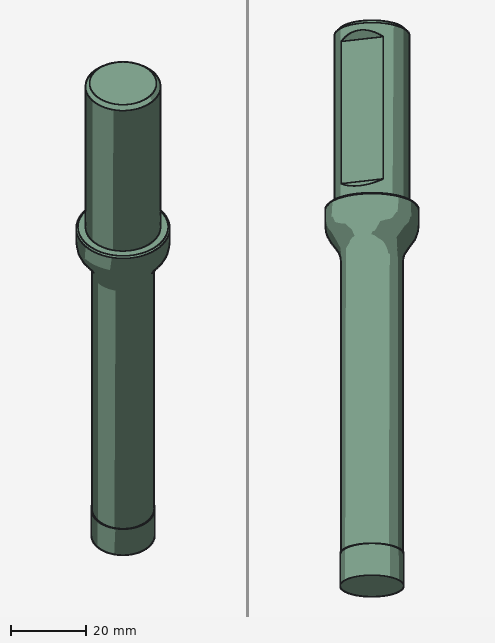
import cadquery as cq

total_length = 159.3
shank_length = 50.0
collar_top = total_length - shank_length
tip_height = 11.2
tip_rim = 2.0

shank_diameter = 20.0
shank_chamfer = 1.1
flat_depth = 1.9
flat_top_gap = 5.0
flat_bottom_gap = 4.8

collar_diameter = 25.0
collar_chamfer = 0.5
collar_band = 5.0
flare_height = 10.5
neck_diameter = 16.5

tip_diameter = 17.0
point_diameter = 8.0
point_height = 1.5

shank_radius = shank_diameter / 2
collar_radius = collar_diameter / 2
neck_radius = neck_diameter / 2


def make_tool_body():
    """Turned shank, collar and neck, ending at the joint with the tip."""
    band_bottom = collar_top - collar_band
    flare_bottom = band_bottom - flare_height
    axial = (0, 1)
    profile = (
        cq.Workplane("XZ")
        .moveTo(0, tip_height)
        .lineTo(neck_radius, tip_height)
        .lineTo(neck_radius, flare_bottom)
        .spline([(collar_radius, band_bottom)], tangents=[axial, axial], includeCurrent=True)
        .lineTo(collar_radius, collar_top - collar_chamfer)
        .lineTo(collar_radius - collar_chamfer, collar_top)
        .lineTo(shank_radius, collar_top)
        .lineTo(shank_radius, total_length - shank_chamfer)
        .lineTo(shank_radius - shank_chamfer, total_length)
        .lineTo(0, total_length)
        .close()
    )
    turned = profile.revolve(360, (0, 0, 0), (0, 1, 0))
    return turned.cut(make_flat_cutter())


def make_flat_cutter():
    """Cutter for the flat on the +Y side, with 45 degree ramps at both ends."""
    floor_y = shank_radius - flat_depth
    floor_top = total_length - flat_top_gap
    floor_bottom = collar_top + flat_bottom_gap
    return (
        cq.Workplane("YZ")
        .polyline([
            (floor_y, floor_bottom),
            (floor_y, floor_top),
            (shank_radius, floor_top + flat_depth),
            (shank_radius, floor_bottom - flat_depth),
        ])
        .close()
        .extrude(shank_radius, both=True)
    )


def make_drill_tip():
    """Drill tip seated on the end face of the neck."""
    tip_radius = tip_diameter / 2
    return (
        cq.Workplane("XZ")
        .polyline([
            (0, 0),
            (point_diameter / 2, point_height),
            (tip_radius, tip_rim),
            (tip_radius, tip_height),
            (0, tip_height),
        ])
        .close()
        .revolve(360, (0, 0, 0), (0, 1, 0))
    )


tool_body = make_tool_body()
drill_tip = make_drill_tip()

result = cq.Compound.makeCompound([tool_body.val(), drill_tip.val()])